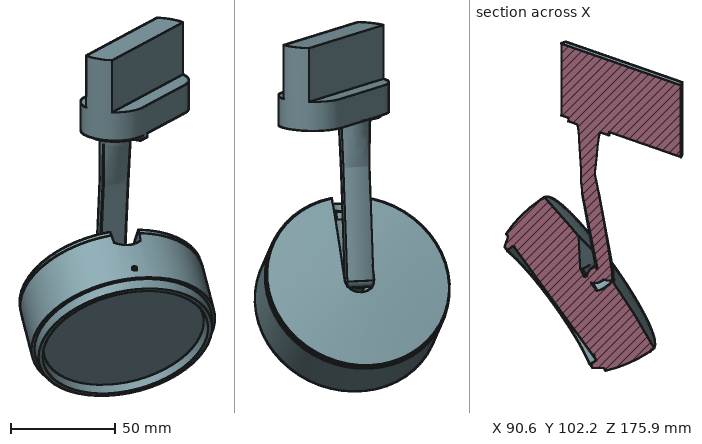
import cadquery as cq
import math


ADAPTER_LENGTH = 70.0
ADAPTER_WIDTH = 32.2
ADAPTER_END_FLAT = 1.5
ADAPTER_OFFSET_Y = 18.6
BASE_HEIGHT = 14.2
BLADE_WIDTH = 14.5
BLADE_HEIGHT = 26.2

FLANGE_DIAMETER = 25.3
FLANGE_HEIGHT = 2.0
TAB_LENGTH = 4.7
TAB_WIDTH = 7
COLLAR_TOP_DIAMETER = 16.0
COLLAR_DIAMETER = 15.0
COLLAR_HEIGHT = 3.9

HEADING = -45
ARM_TILT = 9
ARM_TOP_X = -0.7
ARM_TOP_Z = -27.0
ARM_LENGTH = 54.5
ARM_WIDTH = 12.8
ARM_FRONT = 2.1
ARM_FLANK = 6.2
ARM_BULGE = 1.2
ARM_CHAMFER = 0.5
PIVOT_POST_DIAMETER = 8.0

LAMP_TILT = math.degrees(math.acos(1 / math.sqrt(3)))
LAMP_FACE_X = 19.7
LAMP_FACE_Z = -100.8
BODY_DIAMETER = 89.9
RING_DIAMETER = 85.0
RING_OUTER_DIAMETER = 86.9
RING_LENGTH = 5.0
LIP_DIAMETER = 81
LENS_DIAMETER = 78.5
LENS_DEPTH = 4.2
CAP_DIAMETER = 89.5
CAP_LENGTH = 2.6
LAMP_LENGTH = 34.1
CAP_CHAMFER = 0.5
DOME_HEIGHT = 3.2

SLOT_WIDTH = 13.2
SLOT_WALL = 7
SLOT_BULGE = 2.5
SLOT_DRAFT = 0.7
POCKET_WIDTH = 7.7
POCKET_LENGTH = 4.5
POCKET_DEPTH = 1.0
POCKET_INSET = 3.9

PIN_HOLE_DIAMETER = 2.5
PIN_HOLE_DEPTH = 1.8
PIN_HOLE_FROM_FACE = 10.5


def centered_block(width, height):
    return cq.Workplane("XY").box(width, ADAPTER_LENGTH, height, centered=(True, True, False))


def adapter():
    """Round-ended block cut back to a narrow blade above its base."""
    height = BASE_HEIGHT + BLADE_HEIGHT
    end_radius = (ADAPTER_WIDTH - ADAPTER_END_FLAT) / 2
    rounded = centered_block(ADAPTER_WIDTH, height).edges("|Z").fillet(end_radius)
    stepped = centered_block(BLADE_WIDTH, height).union(centered_block(ADAPTER_WIDTH, BASE_HEIGHT))
    return rounded.intersect(stepped).translate((0, ADAPTER_OFFSET_Y, 0))


def swivel():
    flange = cq.Workplane("XY").circle(FLANGE_DIAMETER / 2).extrude(-FLANGE_HEIGHT)
    tab = (
        cq.Workplane("XY")
        .box(TAB_LENGTH, TAB_WIDTH, FLANGE_HEIGHT, centered=(False, True, False))
        .translate((ADAPTER_WIDTH / 2 - TAB_LENGTH, 0, -FLANGE_HEIGHT))
    )
    collar = (
        cq.Workplane("XY", origin=(0, 0, -FLANGE_HEIGHT))
        .circle(COLLAR_TOP_DIAMETER / 2)
        .workplane(offset=-COLLAR_HEIGHT)
        .circle(COLLAR_DIAMETER / 2)
        .loft()
    )
    return flange.union(tab).union(collar)


def arm_plane():
    """Plane across the top of the bar: its normal runs down the bar, its X points at the flat face."""
    tilt = math.radians(ARM_TILT)
    return cq.Plane(
        origin=(ARM_TOP_X, 0, ARM_TOP_Z),
        xDir=(math.cos(tilt), 0, -math.sin(tilt)),
        normal=(-math.sin(tilt), 0, -math.cos(tilt)),
    )


def arm_section():
    half = ARM_WIDTH / 2
    back = ARM_FRONT - ARM_FLANK
    return (
        cq.Workplane(arm_plane())
        .moveTo(ARM_FRONT, -half + ARM_CHAMFER)
        .lineTo(ARM_FRONT, half - ARM_CHAMFER)
        .lineTo(ARM_FRONT - ARM_CHAMFER, half)
        .lineTo(back, half)
        .threePointArc((back - ARM_BULGE, 0), (back, -half))
        .lineTo(ARM_FRONT - ARM_CHAMFER, -half)
        .close()
    )


def arm():
    """Straight bar, a neck that turns its section into the round collar, and a rounded lower end."""
    bar = arm_section().extrude(ARM_LENGTH)
    ring = cq.Wire.makeCircle(
        COLLAR_DIAMETER / 2, cq.Vector(0, 0, -FLANGE_HEIGHT - COLLAR_HEIGHT), cq.Vector(0, 0, 1)
    )
    neck = cq.Solid.makeLoft([ring, arm_section().val()], True)
    knuckle = (
        cq.Workplane(arm_plane())
        .center(ARM_FRONT - ARM_FLANK / 2, 0)
        .workplane(offset=ARM_LENGTH)
        .transformed(rotate=(90, 0, 0))
        .circle(ARM_FLANK / 2)
        .extrude(ARM_WIDTH / 2, both=True)
    )
    return bar.union(cq.Workplane(neck)).union(knuckle)


def lamp_body():
    """Turned body with its face at Z = 0 and its domed back upward."""
    lip = LIP_DIAMETER / 2
    body = BODY_DIAMETER / 2
    cap = CAP_DIAMETER / 2
    edge = cap - CAP_CHAMFER
    top = LAMP_LENGTH + DOME_HEIGHT
    dome_radius = (edge**2 + DOME_HEIGHT**2) / (2 * DOME_HEIGHT)
    half_edge = edge / 2
    half_height = top - dome_radius + math.sqrt(dome_radius**2 - half_edge**2)
    return (
        cq.Workplane("XZ")
        .moveTo(0, LENS_DEPTH)
        .lineTo(LENS_DIAMETER / 2, LENS_DEPTH)
        .lineTo(lip, 0)
        .lineTo(RING_DIAMETER / 2, 0)
        .lineTo(RING_OUTER_DIAMETER / 2, RING_LENGTH)
        .lineTo(body, RING_LENGTH)
        .lineTo(body, LAMP_LENGTH - CAP_LENGTH)
        .lineTo(cap, LAMP_LENGTH - CAP_LENGTH)
        .lineTo(cap, LAMP_LENGTH - CAP_CHAMFER)
        .lineTo(edge, LAMP_LENGTH)
        .threePointArc((half_edge, half_height), (0, top))
        .close()
        .revolve(360, (0, 0, 0), (0, 1, 0))
    )


def slot():
    """Slot cutter in the lamp's own frame."""
    half = SLOT_WIDTH / 2
    floor = LAMP_LENGTH - SLOT_WALL
    top = LAMP_LENGTH + DOME_HEIGHT
    reach = BODY_DIAMETER / 2
    channel = (
        cq.Workplane("YZ")
        .moveTo(-half - SLOT_DRAFT, top)
        .lineTo(-half, floor)
        .threePointArc((0, floor - SLOT_BULGE), (half, floor))
        .lineTo(half + SLOT_DRAFT, top)
        .close()
        .extrude(reach)
    )
    round_end = cq.Workplane("XY", origin=(0, 0, floor)).circle(half + SLOT_DRAFT).extrude(top - floor)
    pocket_x = reach - POCKET_INSET - POCKET_LENGTH / 2
    pocket_floor = floor - SLOT_BULGE - POCKET_DEPTH
    pocket = (
        cq.Workplane("XY", origin=(pocket_x, 0, pocket_floor))
        .rect(POCKET_LENGTH, POCKET_WIDTH)
        .extrude(SLOT_WALL)
    )
    return channel.union(round_end).union(pocket)


def pin_hole():
    return (
        cq.Workplane("YZ", origin=(BODY_DIAMETER / 2 - PIN_HOLE_DEPTH, 0, PIN_HOLE_FROM_FACE))
        .circle(PIN_HOLE_DIAMETER / 2)
        .extrude(2 * PIN_HOLE_DEPTH)
    )


def pivot_post():
    """Post from the slot floor that carries the end of the arm."""
    foot = LAMP_LENGTH - SLOT_WALL - 2 * SLOT_BULGE
    return (
        cq.Workplane("XY", origin=(0, 0, foot))
        .circle(PIVOT_POST_DIAMETER / 2)
        .extrude(LAMP_LENGTH - foot)
    )


def lamp():
    body = lamp_body().cut(slot()).cut(pin_hole()).union(pivot_post())
    return body.rotate((0, 0, 0), (0, 1, 0), -LAMP_TILT).translate((LAMP_FACE_X, 0, LAMP_FACE_Z))


headed = arm().union(lamp()).rotate((0, 0, 0), (0, 0, 1), HEADING)
result = adapter().union(swivel()).union(headed)